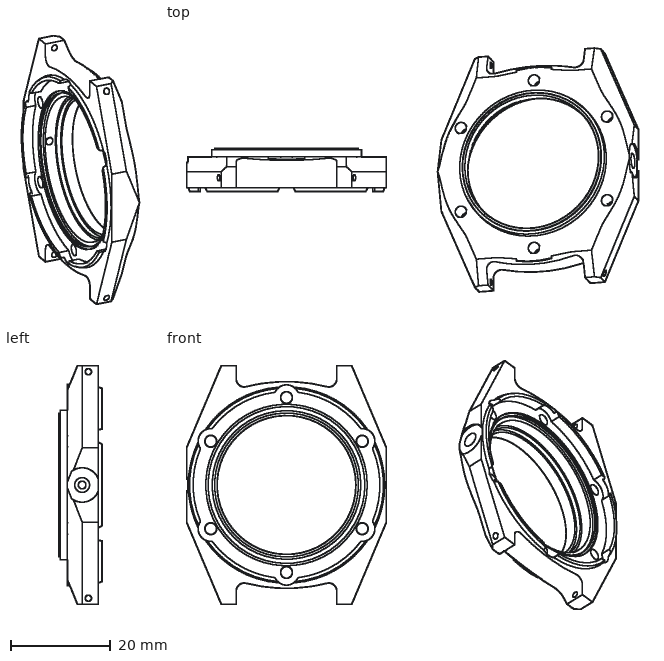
import cadquery as cq
import math


length = 47.8
width = 40.0
flank_height = 14.9
lug_tip_outer = 13.05
lug_gap = 20.05
gap_crown = 20.7
gap_radius = 32.65
gap_fillet = 1.6
gap_flat = 0.45

body_depth = 6.2
neck_end = 7.65
back_end = 7.95
ridge_height = 0.75
pocket_depth = 1.4

flank_bevel_start = 3.25
flank_bevel_angle = 45.0
tip_bevel_start = 4.2
tip_bevel_angle = 22.0

disc_radius = 19.3
disc_fillet = 2.0
boss_radius = 20.2
boss_width = 7.25
neck_radius = 15.0
lip_radius = 14.4
ridge_outer = 19.65
ridge_inner = 18.7
ridge_taper = 0.25
bore_steps = [
    (16.15, 1.75),
    (15.65, 2.3),
    (14.85, 4.6),
    (14.4, 5.55),
    (13.85, back_end),
]

screw_count = 6
screw_circle = 17.5
screw_diameter = 2.3
screw_relief_radius = 2.55

bar_diameter = 1.2
bar_y = 2.0
bar_z = 22.65

crown_y = flank_bevel_start
seat_radius = 3.45
seat_depth = 0.3
crown_bore_radius = 1.5
crown_bore_depth = 2.85
stem_radius = 0.75

half_width = width / 2
half_length = length / 2
half_flank = flank_height / 2


def disc(radius, start, end):
    """Cylinder about the Y axis between two Y levels."""
    return cq.Workplane("XZ", origin=(0, start, 0)).circle(radius).extrude(start - end)


def rod_x(radius, start, end, y, z):
    """Cylinder along X between two X positions."""
    return cq.Workplane("YZ", origin=(start, 0, 0)).center(y, z).circle(radius).extrude(end - start)


def screw_positions():
    step = 2 * math.pi / screw_count
    angles = [math.pi / 2 + i * step for i in range(screw_count)]
    return [(screw_circle * math.cos(a), screw_circle * math.sin(a)) for a in angles]


def case_plate(depth):
    """Eight-sided plate with the hollows between the lugs still filled."""
    corners = [(half_width, half_flank), (lug_tip_outer, half_length)]
    corners += [(-x, z) for x, z in reversed(corners)]
    corners += [(-x, -z) for x, z in corners]
    return cq.Workplane("XZ").polyline(corners).close().extrude(-depth)


def lug_gap_cutter():
    """Space between the upper lugs: curved wall, short flat and corner fillet on each side."""
    half_gap = lug_gap / 2
    centre_z = gap_crown - gap_radius
    fillet_x = half_gap - gap_fillet
    fillet_z = centre_z + math.sqrt((gap_radius + gap_fillet) ** 2 - fillet_x**2)
    fillet_mid = gap_fillet * math.sqrt(0.5)
    mid_x = fillet_x + fillet_mid
    mid_z = fillet_z - fillet_mid
    floor_z = fillet_z - gap_fillet
    wall_x = fillet_x - gap_flat
    wall_z = centre_z + math.sqrt(gap_radius**2 - wall_x**2)
    return (
        cq.Workplane("XZ")
        .moveTo(half_gap, length)
        .lineTo(half_gap, fillet_z)
        .threePointArc((mid_x, mid_z), (fillet_x, floor_z))
        .lineTo(wall_x, wall_z)
        .threePointArc((0, gap_crown), (-wall_x, wall_z))
        .lineTo(-fillet_x, floor_z)
        .threePointArc((-mid_x, mid_z), (-half_gap, fillet_z))
        .lineTo(-half_gap, length)
        .close()
        .extrude(-body_depth)
    )


def bevel_cutter(edge_point, outward_angle, start, slope_angle):
    """Wedge behind a sloping plane that meets an upright side at Y = start."""
    reach = length
    rise = reach * math.tan(math.radians(slope_angle))
    wedge = (
        cq.Workplane("XY")
        .polyline([(reach, start - rise), (-reach, start + rise), (reach, start + rise)])
        .close()
        .extrude(length, both=True)
    )
    turned = wedge.rotate((0, 0, 0), (0, 1, 0), -outward_angle)
    return turned.translate((edge_point[0], 0, edge_point[1]))


def bevelled_blank(cutter, depth):
    """Plate with one bevel and the disc standing out of it, joined by a cove."""
    plate = cq.Workplane("XY").box(2 * length, depth, 2 * length).translate((0, depth / 2, 0))
    blank = plate.cut(cutter).union(disc(disc_radius, 0, depth))
    return blank.edges("%ELLIPSE").fillet(disc_fillet)


def screw_bosses():
    """Pads at the top and bottom of the disc, rounded to a slightly larger radius."""
    strip = cq.Workplane("XY").box(boss_width, body_depth, length).translate((0, body_depth / 2, 0))
    return disc(boss_radius, 0, body_depth).intersect(strip)


def case_body():
    blank_depth = body_depth + disc_fillet
    flank_angle = math.degrees(math.atan2(half_width - lug_tip_outer, half_length - half_flank))
    flank_cutter = bevel_cutter((half_width, half_flank), flank_angle, flank_bevel_start, flank_bevel_angle)
    tip_cutter = bevel_cutter((0, half_length), 90, tip_bevel_start, tip_bevel_angle)
    flank = bevelled_blank(flank_cutter, blank_depth)
    tip = bevelled_blank(tip_cutter, blank_depth)
    body = case_plate(blank_depth)
    for blank in (flank, flank.mirror("YZ"), tip):
        body = body.intersect(blank).intersect(blank.mirror("XY"))
    body = body.union(screw_bosses()).intersect(case_plate(body_depth))
    gap = lug_gap_cutter()
    return body.cut(gap).cut(gap.mirror("XY"))


def neck():
    return disc(neck_radius, 0, neck_end).union(disc(lip_radius, 0, back_end))


def ridge():
    """Ring standing on the front face, with a tapering outer side."""
    taper_angle = math.degrees(math.atan2(ridge_taper, ridge_height))
    return cq.Workplane("XZ").circle(ridge_outer).extrude(ridge_height, taper=taper_angle)


def front_pocket():
    """Recess inside the ridge, with a round relief that breaks the ridge at each screw."""
    reliefs = (
        cq.Workplane("XZ", origin=(0, -ridge_height, 0))
        .pushPoints(screw_positions())
        .circle(screw_relief_radius)
        .extrude(-(ridge_height + pocket_depth))
    )
    return disc(ridge_inner, -ridge_height, pocket_depth).union(reliefs)


def stepped_bore():
    bore = disc(bore_steps[0][0], 0, bore_steps[0][1])
    for radius, end in bore_steps[1:]:
        bore = bore.union(disc(radius, 0, end))
    return bore


def screw_holes():
    return (
        cq.Workplane("XZ")
        .pushPoints(screw_positions())
        .circle(screw_diameter / 2)
        .extrude(-body_depth)
    )


def bar_holes():
    upper = rod_x(bar_diameter / 2, -half_width, half_width, bar_y, bar_z)
    return upper.union(upper.mirror("XY"))


def crown_seat():
    """Spot face, bore and stem hole opening into the case from the -X flank."""
    seat = rod_x(seat_radius, -half_width, -half_width + seat_depth, crown_y, 0)
    bore = rod_x(crown_bore_radius, -half_width, -half_width + crown_bore_depth, crown_y, 0)
    stem = rod_x(stem_radius, -half_width, 0, crown_y, 0)
    return seat.union(bore).union(stem)


result = (
    case_body()
    .union(neck())
    .union(ridge())
    .cut(front_pocket())
    .cut(stepped_bore())
    .cut(screw_holes())
    .cut(bar_holes())
    .cut(crown_seat())
)